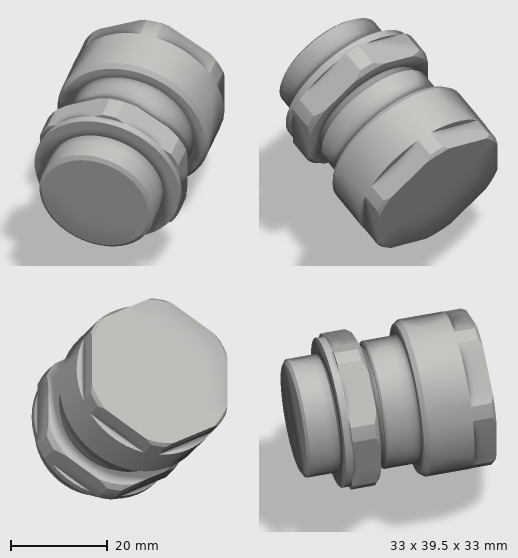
import cadquery as cq

total_length = 39.5
body_diameter = 33.0
flats_width = 30.02
stub_diameter = 24.85
stub_face_diameter = 23.1
stub_chamfer_length = 0.6
stub_length = 7.43
flange_diameter = 31.5
flange_thickness = 1.55
nut_length = 6.0
nut_chamfer_length = 0.9
nut_face_diameter = 31.05
neck_diameter = 25.0
neck_length = 1.5
sleeve_diameter = 26.85
sleeve_length = 7.6
sleeve_chamfer = 0.45
cap_hex_length = 4.98
cap_front_chamfer_length = 1.0
cap_front_diameter = 31.5
cap_hex_chamfer_length = 0.7
cap_hex_face_diameter = 31.8

stub_start = -total_length / 2
flange_start = stub_start + stub_length
nut_start = flange_start + flange_thickness
neck_start = nut_start + nut_length
sleeve_start = neck_start + neck_length
cap_start = sleeve_start + sleeve_length
cap_end = total_length / 2
cap_hex_start = cap_end - cap_hex_length


def turned(points):
    """Revolve (diameter, y) points, closed along the axis, about Y."""
    profile = [(0, points[0][1])]
    profile += [(diameter / 2, y) for diameter, y in points]
    profile.append((0, points[-1][1]))
    return cq.Workplane("XY").polyline(profile).close().revolve(360, (0, 0, 0), (0, 1, 0))


def hex_prism(start, end):
    """Hexagonal prism along Y with two flats facing +X and -X."""
    hexagon = cq.Workplane("XZ", origin=(0, end, 0)).polygon(6, flats_width, circumscribed=True)
    return hexagon.extrude(end - start)


def hex_section(start, end, face_diameter, chamfer_length):
    """Hexagon with corners rounded to the body diameter and its +Y end coned."""
    envelope = turned([
        (body_diameter, start),
        (body_diameter, end - chamfer_length),
        (face_diameter, end),
    ])
    return hex_prism(start, end).intersect(envelope)


stub = turned([
    (stub_face_diameter, stub_start),
    (stub_diameter, stub_start + stub_chamfer_length),
    (stub_diameter, flange_start - stub_chamfer_length),
    (stub_face_diameter, flange_start),
])

flange = turned([(flange_diameter, flange_start), (flange_diameter, nut_start)])
nut = hex_section(nut_start, neck_start, nut_face_diameter, nut_chamfer_length)

neck = turned([(neck_diameter, neck_start), (neck_diameter, sleeve_start)])
sleeve = turned([
    (sleeve_diameter - 2 * sleeve_chamfer, sleeve_start),
    (sleeve_diameter, sleeve_start + sleeve_chamfer),
    (sleeve_diameter, cap_start),
])

cap_body = turned([
    (cap_front_diameter, cap_start),
    (body_diameter, cap_start + cap_front_chamfer_length),
    (body_diameter, cap_hex_start),
])
cap_hex = hex_section(cap_hex_start, cap_end, cap_hex_face_diameter, cap_hex_chamfer_length)

result = stub
for section in (flange, nut, neck, sleeve, cap_body, cap_hex):
    result = result.union(section)